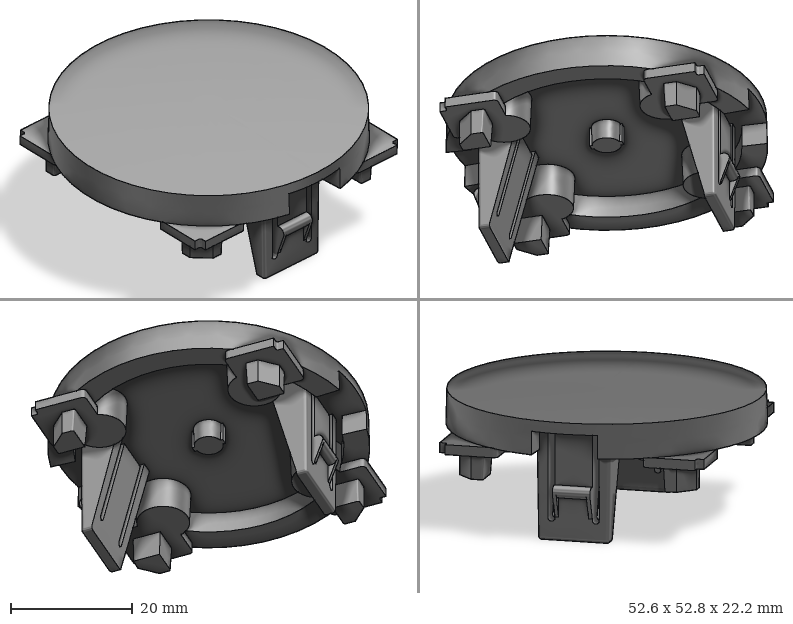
import cadquery as cq
import math

CAP_RADIUS = 26.4
CAP_TOP_RADIUS = 26.25
RIM_HEIGHT = 5.85
CAP_HEIGHT = 6.6
GATE_RADIUS = 2.75
CEILING = 3.95
HOLLOW_RADIUS = 22.2
WINDOW_WIDTH = 11.35
WINDOW_INNER_WIDTH = 10.65
DRAFT_ANGLE = 2.5

HUB_RADIUS = 2.55
HUB_BOTTOM = 0.55
HUB_RIB_WIDTH = 1.1
HUB_RIB_REACH = HUB_RADIUS + 0.2

PLATE_OUTER = 22.5
PLATE_INNER = 12.4
PLATE_THICKNESS = 1.7
PLATE_ROUND = 0.75
NOTCH_SIZE = 1.2
NOTCH_ROUND = 0.35
BOSS_X = 13.85
BOSS_Y = 13.2
BOSS_RADIUS = 4.6
POST_OUTER = 20.2
POST_INNER_TOP = 15.2
POST_INNER_BOTTOM = 15.5
POST_CHAMFER = 2.7
POST_ROUND = 0.3
POST_BOTTOM = -6.15

LEG_OUTER = 20.25
LEG_BOTTOM = -15.6
LEG_TIP_THICKNESS = 1.95
LEG_SLOPE = 0.26
LEG_STRAIGHT_TIP = 0.6
LEG_TOP_WIDTH = 12.8
LEG_BOTTOM_WIDTH = 12.15
LEG_ROUND = 0.6

TONGUE_WIDTH = 6.4
TONGUE_TOP = 2.8
SLOT_WIDTH = 1.15
SLOT_BOTTOM = -12.3
SLOT_DRAFT = 0.9
SNAP_RADIUS = 1.0
SNAP_REACH = 21.75
SNAP_TOP = POST_BOTTOM
SNAP_RIB_WIDTH = 0.65
SNAP_RIB_BOTTOM = -11.5

OVERLAP = 0.25


def box(x_min, x_max, y_min, y_max, z_min, z_max):
    """Block between the given limits."""
    return (
        cq.Workplane("XY")
        .box(x_max - x_min, y_max - y_min, z_max - z_min, centered=False)
        .translate((x_min, y_min, z_min))
    )


def make_cap():
    """Domed disc with a hollow underside and a window through the rim at each leg."""
    drop = CAP_HEIGHT - RIM_HEIGHT
    dome_radius = (CAP_TOP_RADIUS**2 + drop**2) / (2 * drop)
    mid_radius = (CAP_TOP_RADIUS + GATE_RADIUS) / 2
    mid_height = CAP_HEIGHT - dome_radius + math.sqrt(dome_radius**2 - mid_radius**2)
    cap = (
        cq.Workplane("XZ")
        .lineTo(CAP_RADIUS, 0)
        .lineTo(CAP_TOP_RADIUS, RIM_HEIGHT)
        .threePointArc((mid_radius, mid_height), (GATE_RADIUS, CAP_HEIGHT))
        .lineTo(0, CAP_HEIGHT)
        .close()
        .revolve(360, (0, 0, 0), (0, 1, 0))
    )
    hollow = cq.Workplane("XY").circle(HOLLOW_RADIUS).extrude(CEILING)
    cap = cap.cut(hollow)
    for side in (-1, 1):
        window = (
            cq.Workplane("XY")
            .moveTo(side * CAP_RADIUS, -WINDOW_WIDTH / 2)
            .lineTo(side * CAP_RADIUS, WINDOW_WIDTH / 2)
            .lineTo(side * LEG_OUTER, WINDOW_INNER_WIDTH / 2)
            .lineTo(side * LEG_OUTER, -WINDOW_INNER_WIDTH / 2)
            .close()
            .extrude(CEILING)
        )
        cap = cap.cut(window)
    return cap


def make_tapered_boss(x, y, radius, bottom):
    """Round boss hanging from the roof, slightly narrower at its lower end."""
    root = CEILING + OVERLAP
    return (
        cq.Workplane("XY", origin=(x, y, root))
        .circle(radius)
        .extrude(bottom - root, taper=DRAFT_ANGLE)
    )


def make_hub():
    """Central boss with a narrow rib on both sides along X."""
    boss = make_tapered_boss(0, 0, HUB_RADIUS, HUB_BOTTOM)
    half_rib = HUB_RIB_WIDTH / 2
    rib = box(-HUB_RIB_REACH, HUB_RIB_REACH, -half_rib, half_rib, HUB_BOTTOM, CEILING + OVERLAP)
    return boss.union(rib)


def make_corner():
    """Plate with a notched outer corner, round boss and post, in the +X +Y quadrant."""
    notch = PLATE_OUTER - NOTCH_SIZE
    plate = (
        cq.Workplane("XY", origin=(0, 0, -PLATE_THICKNESS))
        .moveTo(PLATE_INNER, PLATE_INNER)
        .lineTo(PLATE_OUTER, PLATE_INNER)
        .lineTo(PLATE_OUTER, notch)
        .lineTo(notch, notch)
        .lineTo(notch, PLATE_OUTER)
        .lineTo(PLATE_INNER, PLATE_OUTER)
        .close()
        .extrude(PLATE_THICKNESS)
    )
    at_notch = cq.selectors.NearestToPointSelector((notch, notch, -PLATE_THICKNESS / 2))
    plate = plate.edges("|Z").edges(at_notch).fillet(NOTCH_ROUND)
    for x, y in ((PLATE_OUTER, PLATE_INNER), (PLATE_INNER, PLATE_OUTER)):
        at_end = cq.selectors.NearestToPointSelector((x, y, -PLATE_THICKNESS / 2))
        plate = plate.edges("|Z").edges(at_end).fillet(PLATE_ROUND)
    boss = make_tapered_boss(BOSS_X, BOSS_Y, BOSS_RADIUS, -PLATE_THICKNESS)
    return plate.union(boss).union(make_post())


def post_outline(inner):
    """Square with its outer corner cut off, as points."""
    cut = POST_OUTER - POST_CHAMFER
    return [(inner, inner), (POST_OUTER, inner), (POST_OUTER, cut), (cut, POST_OUTER), (inner, POST_OUTER)]


def make_post():
    """Post below a corner plate; its two inner sides are drafted."""
    post = (
        cq.Workplane("XY", origin=(0, 0, POST_BOTTOM))
        .polyline(post_outline(POST_INNER_BOTTOM))
        .close()
        .workplane(offset=-PLATE_THICKNESS - POST_BOTTOM)
        .polyline(post_outline(POST_INNER_TOP))
        .close()
        .loft(ruled=True)
    )
    middle_height = (POST_BOTTOM - PLATE_THICKNESS) / 2
    for x, y in ((POST_OUTER, POST_INNER_TOP), (POST_INNER_TOP, POST_OUTER)):
        at_corner = cq.selectors.NearestToPointSelector((x, y, middle_height))
        post = post.edges(at_corner).fillet(POST_ROUND)
    return post


def make_leg_body():
    """Solid wedge of the +X leg, tapered in width and rounded along its outer face and tip."""
    top = CEILING + OVERLAP
    slope_start = LEG_BOTTOM + LEG_STRAIGHT_TIP
    tip_inner = LEG_OUTER - LEG_TIP_THICKNESS
    top_inner = tip_inner - LEG_SLOPE * (top - slope_start)
    wedge = (
        cq.Workplane("XZ")
        .moveTo(LEG_OUTER, top)
        .lineTo(LEG_OUTER, LEG_BOTTOM)
        .lineTo(tip_inner, LEG_BOTTOM)
        .lineTo(tip_inner, slope_start)
        .lineTo(top_inner, top)
        .close()
        .extrude(LEG_TOP_WIDTH / 2, both=True)
    )
    width_taper = (
        cq.Workplane("YZ")
        .moveTo(-LEG_BOTTOM_WIDTH / 2, LEG_BOTTOM)
        .lineTo(LEG_BOTTOM_WIDTH / 2, LEG_BOTTOM)
        .lineTo(LEG_TOP_WIDTH / 2, top)
        .lineTo(-LEG_TOP_WIDTH / 2, top)
        .close()
        .extrude(LEG_OUTER)
    )
    body = wedge.intersect(width_taper)
    outer_edges = body.faces(">X").edges("not >Z")
    tip_side_edges = body.faces("<Z").edges("|X")
    return body.newObject(outer_edges.vals() + tip_side_edges.vals()).fillet(LEG_ROUND)


def cut_tongue(leg):
    """Free the tongue with two drafted, round-ended slots and a gap above it."""
    slot_offset = (TONGUE_WIDTH + SLOT_WIDTH) / 2
    slot_top = CEILING + SLOT_WIDTH
    slot_middle = (slot_top + SLOT_BOTTOM) / 2
    for side in (-1, 1):
        slot = (
            cq.Workplane("YZ", origin=(LEG_OUTER, 0, 0))
            .center(side * slot_offset, slot_middle)
            .slot2D(slot_top - SLOT_BOTTOM, SLOT_WIDTH, 90)
            .extrude(-LEG_OUTER / 2, taper=SLOT_DRAFT)
        )
        leg = leg.cut(slot)
    return leg.cut(box(0, LEG_OUTER, -slot_offset, slot_offset, TONGUE_TOP, CEILING))


def make_snap():
    """Round snap bar across the tongue, braced from below by a sloping rib at each end."""
    half_tongue = TONGUE_WIDTH / 2
    bar_x = SNAP_REACH - SNAP_RADIUS
    bar_z = SNAP_TOP - SNAP_RADIUS
    root = LEG_OUTER - OVERLAP
    bar = cq.Workplane("XZ").center(bar_x, bar_z).circle(SNAP_RADIUS).extrude(half_tongue, both=True)
    bar = bar.union(box(root, bar_x, -half_tongue, half_tongue, bar_z - SNAP_RADIUS, SNAP_TOP))

    run = LEG_OUTER - bar_x
    fall = SNAP_RIB_BOTTOM - bar_z
    touch_angle = math.atan2(fall, run) + math.acos(SNAP_RADIUS / math.hypot(run, fall))
    touch_x = bar_x + SNAP_RADIUS * math.cos(touch_angle)
    touch_z = bar_z + SNAP_RADIUS * math.sin(touch_angle)
    for side in (-1, 1):
        rib = (
            cq.Workplane("XZ")
            .moveTo(root, SNAP_RIB_BOTTOM)
            .lineTo(LEG_OUTER, SNAP_RIB_BOTTOM)
            .lineTo(touch_x, touch_z)
            .lineTo(bar_x, bar_z)
            .lineTo(root, bar_z)
            .close()
            .extrude(SNAP_RIB_WIDTH / 2, both=True)
            .translate((0, side * (half_tongue - SNAP_RIB_WIDTH / 2), 0))
        )
        bar = bar.union(rib)
    return bar


result = make_cap().union(make_hub())

corner = make_corner()
corner_pair = corner.union(corner.mirror("YZ"))
result = result.union(corner_pair).union(corner_pair.mirror("XZ"))

leg = cut_tongue(make_leg_body()).union(make_snap())
result = result.union(leg).union(leg.mirror("YZ"))